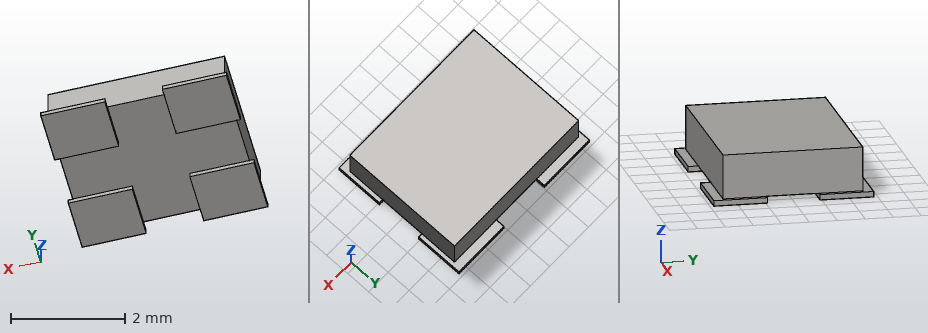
import cadquery as cq

overall_length = 3.36
overall_width = 2.86
overall_height = 0.9

pad_length = 1.16
pad_width = 0.96
pad_thickness = 0.1

body_length = 3.2
body_width = 2.5
body_height = overall_height - pad_thickness


def make_body():
    """Plain block whose underside lies on the top faces of the pads."""
    return (
        cq.Workplane("XY")
        .workplane(offset=pad_thickness)
        .rect(body_length, body_width)
        .extrude(body_height)
    )


def make_pad(x_side, y_side):
    """Flat pad flush with one corner of the footprint; each side is -1 or 1."""
    center_x = x_side * (overall_length - pad_length) / 2
    center_y = y_side * (overall_width - pad_width) / 2
    return (
        cq.Workplane("XY")
        .center(center_x, center_y)
        .rect(pad_length, pad_width)
        .extrude(pad_thickness)
    )


body = make_body()
pads = [make_pad(x_side, y_side) for x_side in (-1, 1) for y_side in (-1, 1)]

result = cq.Compound.makeCompound([body.val(), *[pad.val() for pad in pads]])